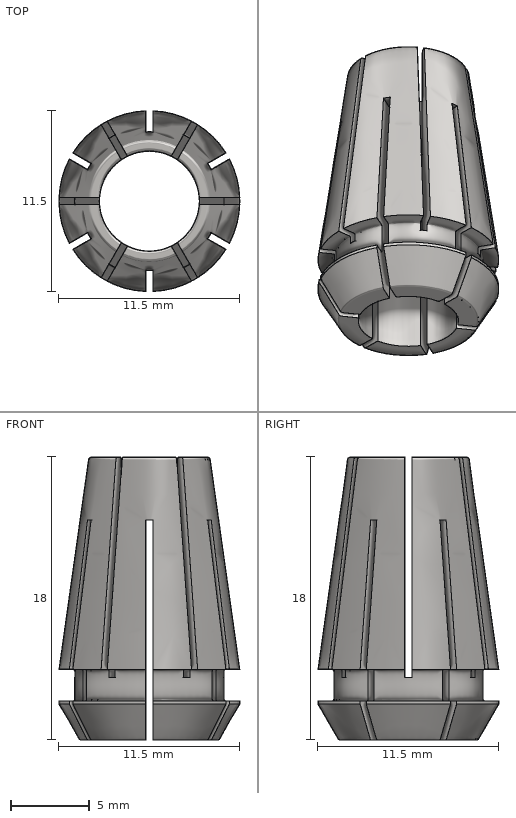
import cadquery as cq
import math

overall_length = 18.0
max_radius = 11.5 / 2
bore_radius = 6.35 / 2

taper_half_angle = 8.0
taper_bottom_z = 4.5

groove_radius = 9.5 / 2
groove_bottom_z = 2.5
rim_height = 0.2
nose_half_angle = 30.0

edge_radius = 0.2
groove_corner_radius = 0.1
edge_tolerance = 0.001

slot_width = 0.45
slot_pair_count = 3
upper_slot_bottom_z = 4.0
lower_slot_top_z = 14.0
slot_overrun = 1.0

taper_height = overall_length - taper_bottom_z
taper_top_radius = max_radius - taper_height * math.tan(math.radians(taper_half_angle))
nose_top_z = groove_bottom_z - rim_height
nose_bottom_radius = max_radius - nose_top_z * math.tan(math.radians(nose_half_angle))


def round_circle(body, radius, height, fillet_radius):
    """Fillet the circular edge of the given radius at the given height."""
    box = cq.selectors.BoxSelector(
        (-radius - edge_tolerance, -radius - edge_tolerance, height - edge_tolerance),
        (radius + edge_tolerance, radius + edge_tolerance, height + edge_tolerance),
        boundingbox=True,
    )
    circle = cq.selectors.RadiusNthSelector(-1)
    return body.edges(box).edges(circle).fillet(fillet_radius)


def make_body():
    """Revolve the wall section and round its edges."""
    body = (
        cq.Workplane("XZ")
        .moveTo(bore_radius, 0)
        .lineTo(nose_bottom_radius, 0)
        .lineTo(max_radius, nose_top_z)
        .lineTo(max_radius, groove_bottom_z)
        .lineTo(groove_radius, groove_bottom_z)
        .lineTo(groove_radius, taper_bottom_z)
        .lineTo(max_radius, taper_bottom_z)
        .lineTo(taper_top_radius, overall_length)
        .lineTo(bore_radius, overall_length)
        .close()
        .revolve(360, (0, 0, 0), (0, 1, 0))
    )
    body = round_circle(body, taper_top_radius, overall_length, edge_radius)
    body = round_circle(body, nose_bottom_radius, 0, edge_radius)
    body = round_circle(body, bore_radius, overall_length, edge_radius)
    body = round_circle(body, groove_radius, taper_bottom_z, groove_corner_radius)
    body = round_circle(body, groove_radius, groove_bottom_z, groove_corner_radius)
    return body


def make_slot(bottom_z, top_z, angle):
    """Make a slot blade that crosses the whole diameter at the given angle from X."""
    blade_length = 2 * (max_radius + slot_overrun)
    return (
        cq.Workplane("XY", origin=(0, 0, bottom_z))
        .rect(blade_length, slot_width)
        .extrude(top_z - bottom_z)
        .rotate((0, 0, 0), (0, 0, 1), angle)
    )


def cut_spring_slots(body):
    """Cut slots alternately from the top end and from the bottom end."""
    pair_pitch = 180.0 / slot_pair_count
    for index in range(slot_pair_count):
        upper_angle = index * pair_pitch
        lower_angle = upper_angle + pair_pitch / 2
        body = body.cut(make_slot(upper_slot_bottom_z, overall_length + slot_overrun, upper_angle))
        body = body.cut(make_slot(-slot_overrun, lower_slot_top_z, lower_angle))
    return body


result = cut_spring_slots(make_body())